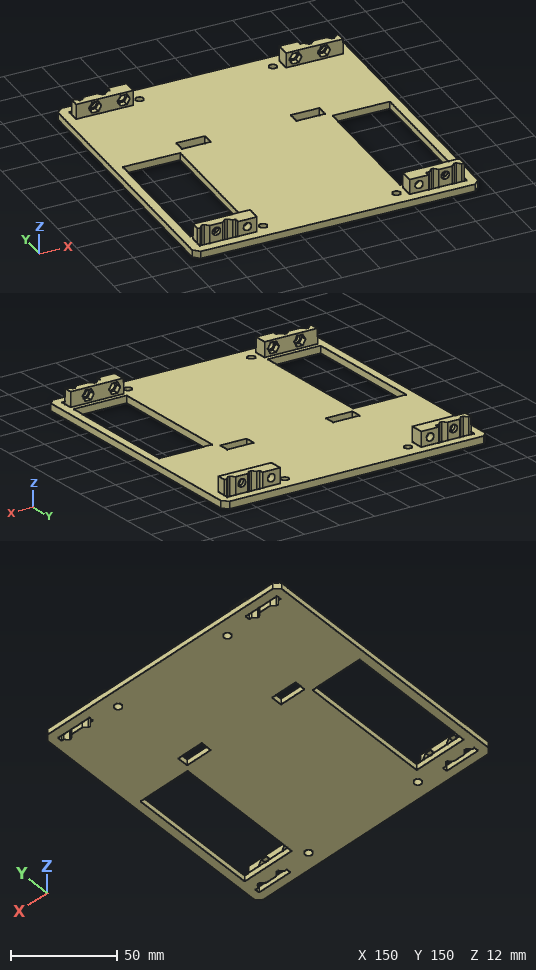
import cadquery as cq
import math

plate_side = 150.0
total_height = 12.0
plate_thickness = total_height / 3
corner_chamfer = 3.0
half_side = plate_side / 2

block_margin = plate_side / 30
block_length = 30.0
block_depth = 7.5
block_outer = half_side - block_margin
block_inner_x = block_outer - block_length
block_inner_y = block_outer - block_depth
pair_count = 2

relief_length = block_length * 2 / 3
relief_depth = block_depth / 3
groove_depth = 2.0
groove_mouth = 5.1
groove_floor = 1.2
groove_end_offset = 3.9
groove_pitch = 12.0

hole_diameter = 4.0
screw_end_offset = block_length / 3
screw_pitch = block_length / 2
screw_height = (plate_thickness + total_height) / 2
nut_sides = 6
nut_across_flats = 5.5
nut_across_corners = nut_across_flats / math.cos(math.pi / nut_sides)
nut_depth = 3.0

mount_x = 35.0
mount_y = 66.3

large_window_top = 12.5
large_window_bottom = -60.0
small_window_inner_x = 22.5
small_window_length = 15.0
small_window_top = 21.6
small_window_bottom = 15.5


def mirrored_four_ways(shape):
    """Join a shape in the +X +Y corner with its copies in the other three corners."""
    pair = shape.union(shape.mirror("YZ"))
    return pair.union(pair.mirror("XZ"))


def base_plate():
    plate = cq.Workplane("XY").box(plate_side, plate_side, plate_thickness, centered=(True, True, False))
    return plate.edges("|Z").chamfer(corner_chamfer)


def box_between(x_min, x_max, y_min, y_max, height):
    """Box standing on Z = 0 with the given limits."""
    box = cq.Workplane("XY").box(x_max - x_min, y_max - y_min, height, centered=False)
    return box.translate((x_min, y_min, 0))


def relief_cutter():
    """Shallow relief with two trapezoidal grooves in its floor."""
    relief_floor = block_outer - relief_depth
    cutter = box_between(block_outer - relief_length, block_outer, relief_floor, block_outer, total_height)
    for index in range(pair_count):
        groove_x = block_outer - groove_end_offset - index * groove_pitch
        groove = (
            cq.Workplane("XY")
            .moveTo(groove_x - groove_mouth / 2, relief_floor)
            .lineTo(groove_x - groove_floor / 2, relief_floor - groove_depth)
            .lineTo(groove_x + groove_floor / 2, relief_floor - groove_depth)
            .lineTo(groove_x + groove_mouth / 2, relief_floor)
            .close()
            .extrude(total_height)
        )
        cutter = cutter.union(groove)
    return cutter


def screw_cutters():
    """Two screw holes along Y, each with a nut pocket in the inner face."""
    first_x = block_outer - screw_end_offset
    centres = [(first_x - index * screw_pitch, screw_height) for index in range(pair_count)]
    inner_face = cq.Workplane("XZ", origin=(0, block_inner_y, 0)).pushPoints(centres)
    holes = inner_face.circle(hole_diameter / 2).extrude(-block_depth)
    nut_pockets = inner_face.polygon(nut_sides, nut_across_corners).extrude(-nut_depth)
    return holes.union(nut_pockets)


def mounting_hole():
    return cq.Workplane("XY").center(mount_x, mount_y).circle(hole_diameter / 2).extrude(plate_thickness)


def windows():
    """Large side window and small inner window on the +X half of the plate."""
    large = box_between(block_inner_x, block_outer, large_window_bottom, large_window_top, plate_thickness)
    small = box_between(
        small_window_inner_x,
        small_window_inner_x + small_window_length,
        small_window_bottom,
        small_window_top,
        plate_thickness,
    )
    return large.union(small)


block = box_between(block_inner_x, block_outer, block_inner_y, block_outer, total_height)
corner_cutter = relief_cutter().union(screw_cutters()).union(mounting_hole())
right_windows = windows()

result = (
    base_plate()
    .union(mirrored_four_ways(block))
    .cut(mirrored_four_ways(corner_cutter))
    .cut(right_windows)
    .cut(right_windows.mirror("YZ"))
)